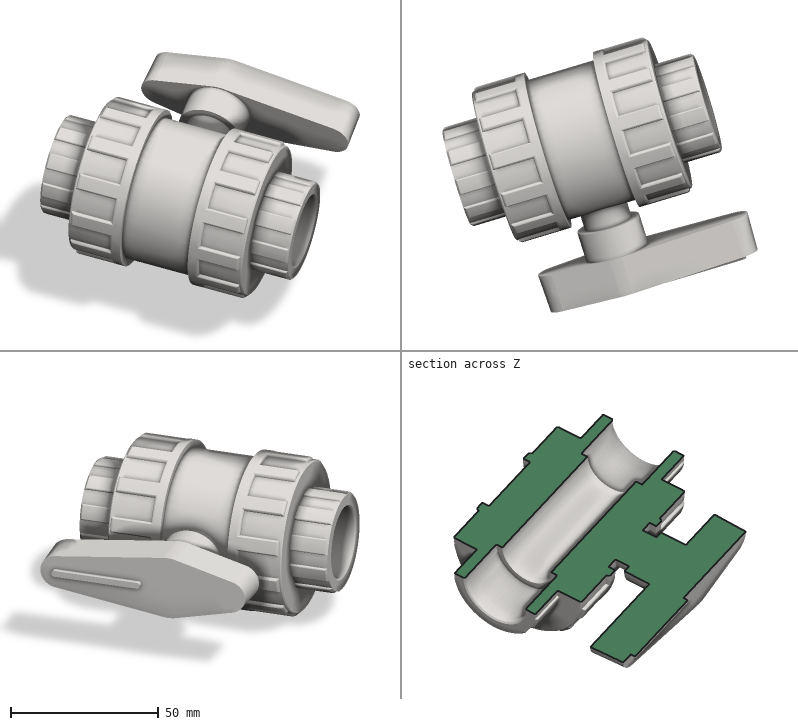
import cadquery as cq
import math


overall_length = 89.0
body_diameter = 49.5
bore_diameter = 20.0

socket_diameter = 33.5
socket_bore_diameter = 25.0
socket_bore_depth = 19.0
socket_bore_chamfer = 0.5
socket_rib_diameter = 35.0
socket_rib_count = 10
socket_rib_base_width = 5.5
socket_rib_top_width = 4.1

nut_inner_x = 12.2
nut_outer_x = 31.15
nut_diameter = 52.8
nut_collar_diameter = 55.0
nut_collar_length = 2.8
nut_edge_chamfer = 0.4
nut_rib_setback = 0.9
nut_rib_count = 12
nut_rib_base_width = 5.5
nut_rib_top_width = 4.4
nut_rib_end_round = 1.0

stem_diameter = 16.5
hub_diameter = 22.0
hub_start_y = 30.2

handle_start_y = 40.5
handle_end_y = 53.85
handle_center_radius = 11.65
handle_tip_radius = 6.3
handle_short_reach = 28.1
handle_long_reach = 46.29
handle_draft_angle = 2.0

bar_start_x = 9.6
bar_end_x = 41.3
bar_width = 2.2
bar_top_y = 55.62

trim_allowance = 2.0

half_length = overall_length / 2
round_midpoint = math.sqrt(0.5)


def x_cylinder(start_x, end_x, diameter):
    return cq.Workplane("YZ", origin=(start_x, 0, 0)).circle(diameter / 2).extrude(end_x - start_x)


def y_cylinder(start_y, end_y, diameter):
    return cq.Workplane("XZ", origin=(0, start_y, 0)).circle(diameter / 2).extrude(start_y - end_y)


def revolve_about_x(profile):
    """Revolve a closed (x, radius) outline about the pipe axis."""
    return profile.close().revolve(360, (0, 0, 0), (1, 0, 0))


def add_rib_bars(core, length_range, radius_range, width_range, count, first_angle):
    """Add a ring of lengthwise bars whose flanks curve in from the base to the top width.

    Each bar runs past the top radius and is trimmed later by the outer envelope.
    """
    start_x, end_x = length_range
    base_radius, top_radius = radius_range
    base_half_width = width_range[0] / 2
    top_half_width = width_range[1] / 2
    root_radius = base_radius - trim_allowance
    tip_radius = top_radius + trim_allowance
    top_edge_level = math.sqrt(top_radius**2 - top_half_width**2)
    bar = (
        cq.Workplane("YZ", origin=(start_x, 0, 0))
        .moveTo(0, root_radius)
        .lineTo(base_half_width, root_radius)
        .lineTo(base_half_width, base_radius)
        .tangentArcPoint((top_half_width, top_edge_level), relative=False)
        .lineTo(top_half_width, tip_radius)
        .lineTo(0, tip_radius)
        .mirrorY()
        .extrude(end_x - start_x)
    )
    for index in range(count):
        angle = first_angle + index * 360 / count
        core = core.union(bar.rotate((0, 0, 0), (1, 0, 0), angle))
    return core


def make_socket():
    """Pipe socket with raised ribs whose outer ends are chamfered down to the socket surface."""
    base_radius = socket_diameter / 2
    rib_radius = socket_rib_diameter / 2
    rib_height = rib_radius - base_radius
    core = x_cylinder(nut_inner_x, half_length, socket_diameter)
    ribbed = add_rib_bars(
        core,
        length_range=(nut_inner_x, half_length),
        radius_range=(base_radius, rib_radius),
        width_range=(socket_rib_base_width, socket_rib_top_width),
        count=socket_rib_count,
        first_angle=0,
    )
    envelope = revolve_about_x(
        cq.Workplane("XY")
        .moveTo(nut_inner_x, 0)
        .lineTo(nut_inner_x, rib_radius)
        .lineTo(half_length - rib_height, rib_radius)
        .lineTo(half_length, base_radius)
        .lineTo(half_length, 0)
    )
    return ribbed.intersect(envelope)


def make_nut():
    """Union nut: a collar on the inner side and ribs running from it toward the outer end."""
    base_radius = nut_diameter / 2
    rib_radius = nut_collar_diameter / 2
    collar_end_x = nut_inner_x + nut_collar_length
    rib_end_x = nut_outer_x - nut_rib_setback
    round_start_x = rib_end_x - nut_rib_end_round
    round_end_radius = rib_radius - nut_rib_end_round
    arc_reach = nut_rib_end_round * round_midpoint
    arc_radius = round_end_radius + arc_reach

    core = revolve_about_x(
        cq.Workplane("XY")
        .moveTo(nut_inner_x, 0)
        .lineTo(nut_inner_x, rib_radius + trim_allowance)
        .lineTo(collar_end_x, rib_radius + trim_allowance)
        .lineTo(collar_end_x, rib_radius)
        .threePointArc(
            (collar_end_x + arc_reach, arc_radius), (collar_end_x + nut_rib_end_round, round_end_radius)
        )
        .lineTo(collar_end_x + nut_rib_end_round, base_radius)
        .lineTo(nut_outer_x, base_radius)
        .lineTo(nut_outer_x, 0)
    )
    ribbed = add_rib_bars(
        core,
        length_range=(nut_inner_x, rib_end_x),
        radius_range=(base_radius, rib_radius),
        width_range=(nut_rib_base_width, nut_rib_top_width),
        count=nut_rib_count,
        first_angle=360 / nut_rib_count / 2,
    )
    envelope = revolve_about_x(
        cq.Workplane("XY")
        .moveTo(nut_inner_x, 0)
        .lineTo(nut_inner_x, rib_radius)
        .lineTo(round_start_x, rib_radius)
        .threePointArc((round_start_x + arc_reach, arc_radius), (rib_end_x, round_end_radius))
        .lineTo(rib_end_x, base_radius)
        .lineTo(nut_outer_x - nut_edge_chamfer, base_radius)
        .lineTo(nut_outer_x, base_radius - nut_edge_chamfer)
        .lineTo(nut_outer_x, 0)
    )
    return ribbed.intersect(envelope)


def make_bore_cutter():
    """Through bore with a wider, chamfered pipe socket at each end."""
    bore_radius = bore_diameter / 2
    socket_radius = socket_bore_diameter / 2
    shoulder_x = half_length - socket_bore_depth
    half_cutter = revolve_about_x(
        cq.Workplane("XY")
        .lineTo(0, bore_radius)
        .lineTo(shoulder_x, bore_radius)
        .lineTo(shoulder_x, socket_radius)
        .lineTo(half_length - socket_bore_chamfer, socket_radius)
        .lineTo(half_length, socket_radius + socket_bore_chamfer)
        .lineTo(half_length, 0)
    )
    return half_cutter.union(half_cutter.mirror("YZ"))


def make_handle():
    short_center_x = handle_tip_radius - handle_short_reach
    long_center_x = handle_long_reach - handle_tip_radius
    radius_step = handle_center_radius - handle_tip_radius
    short_normal = math.pi - math.acos(radius_step / -short_center_x)
    long_normal = math.acos(radius_step / long_center_x)

    def on_circle(center_x, radius, angle):
        return (center_x + radius * math.cos(angle), radius * math.sin(angle))

    return (
        cq.Workplane("XZ", origin=(0, handle_start_y, 0))
        .moveTo(*on_circle(long_center_x, handle_tip_radius, long_normal))
        .lineTo(*on_circle(0, handle_center_radius, long_normal))
        .threePointArc((0, handle_center_radius), on_circle(0, handle_center_radius, short_normal))
        .lineTo(*on_circle(short_center_x, handle_tip_radius, short_normal))
        .threePointArc(
            (-handle_short_reach, 0), on_circle(short_center_x, handle_tip_radius, -short_normal)
        )
        .lineTo(*on_circle(0, handle_center_radius, -short_normal))
        .threePointArc((0, -handle_center_radius), on_circle(0, handle_center_radius, -long_normal))
        .lineTo(*on_circle(long_center_x, handle_tip_radius, -long_normal))
        .threePointArc(
            (handle_long_reach, 0), on_circle(long_center_x, handle_tip_radius, long_normal)
        )
        .close()
        .extrude(handle_start_y - handle_end_y, taper=handle_draft_angle)
    )


def make_handle_bar():
    return (
        cq.Workplane("XZ", origin=(0, handle_end_y, 0))
        .center((bar_start_x + bar_end_x) / 2, 0)
        .slot2D(bar_end_x - bar_start_x, bar_width)
        .extrude(handle_end_y - bar_top_y)
    )


end_fitting = make_socket().union(make_nut())
valve = x_cylinder(-nut_inner_x, nut_inner_x, body_diameter)
valve = valve.union(end_fitting).union(end_fitting.mirror("YZ"))
valve = valve.union(y_cylinder(bore_diameter / 2, hub_start_y, stem_diameter))
valve = valve.cut(make_bore_cutter())
valve = valve.union(y_cylinder(hub_start_y, handle_start_y, hub_diameter))
valve = valve.union(make_handle())
result = valve.union(make_handle_bar())